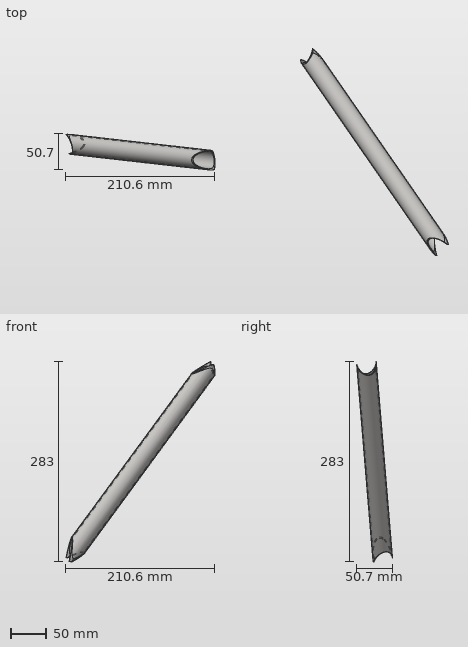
import cadquery as cq

TUBE_DIAMETER = 28.0
WALL = 1.5
OUTER_RADIUS = TUBE_DIAMETER / 2
INNER_RADIUS = OUTER_RADIUS - WALL

LOWER_JOINT = cq.Vector(-102.8, 11.2, -138.0)
UPPER_JOINT = cq.Vector(101.4, -11.9, 140.5)
TUBE_DIRECTION = (UPPER_JOINT - LOWER_JOINT).normalized()

LOWER_CROSS_OFFSET = 4.0
LOWER_CROSS_JOINT = LOWER_JOINT - TUBE_DIRECTION * LOWER_CROSS_OFFSET

LOWER_STEEP_DIRECTION = cq.Vector(0.24, 0.235, -0.97)
LOWER_CROSS_DIRECTION = cq.Vector(1.0, 0.2, 0.0)
UPPER_CROSS_DIRECTION = cq.Vector(1.0, 0.06, 0.075)
UPPER_SLOPED_DIRECTION = cq.Vector(0.857, 0.27, -0.515)

END_ALLOWANCE = 2 * TUBE_DIAMETER
COPE_LENGTH = 8 * TUBE_DIAMETER


def blank_tube():
    """Hollow tube with square ends, longer than the finished part."""
    start = LOWER_JOINT - TUBE_DIRECTION * END_ALLOWANCE
    length = (UPPER_JOINT - LOWER_JOINT).Length + 2 * END_ALLOWANCE
    section = cq.Workplane(cq.Plane(origin=start, normal=TUBE_DIRECTION))
    return section.circle(OUTER_RADIUS).circle(INNER_RADIUS).extrude(length)


def neighbour_tube(joint, direction):
    """Solid cylinder filling a neighbouring tube, centred on its joint."""
    plane = cq.Plane(origin=joint, normal=direction)
    return cq.Workplane(plane).circle(OUTER_RADIUS).extrude(COPE_LENGTH / 2, both=True)


def coped_tube():
    """Tube cut by its neighbours, without the loose pieces beyond the joints."""
    neighbours = [
        (LOWER_JOINT, LOWER_STEEP_DIRECTION),
        (LOWER_CROSS_JOINT, LOWER_CROSS_DIRECTION),
        (UPPER_JOINT, UPPER_CROSS_DIRECTION),
        (UPPER_JOINT, UPPER_SLOPED_DIRECTION),
    ]
    tube = blank_tube()
    for joint, direction in neighbours:
        tube = tube.cut(neighbour_tube(joint, direction))
    return max(tube.solids().vals(), key=lambda solid: solid.Volume())


result = cq.Workplane(coped_tube())